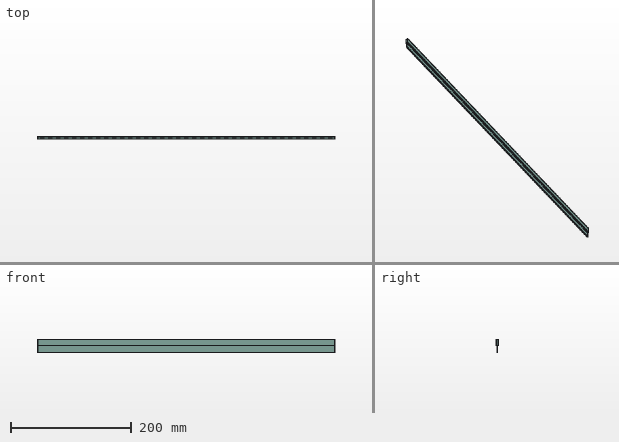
import cadquery as cq

length = 492.0
overall_height = 22.0

head_thickness = 4.0
head_height = 10.0
blade_thickness = 1.5

blade_height = overall_height - head_height
bottom_z = -overall_height / 2
shoulder_z = bottom_z + blade_height


def bar(thickness, height, base_z):
    """Full-length rectangular bar, centred in X and Y, standing on base_z."""
    return (
        cq.Workplane("XY")
        .workplane(offset=base_z)
        .rect(length, thickness)
        .extrude(height)
    )


head = bar(head_thickness, head_height, shoulder_z)
blade = bar(blade_thickness, blade_height, bottom_z)

result = head.union(blade)